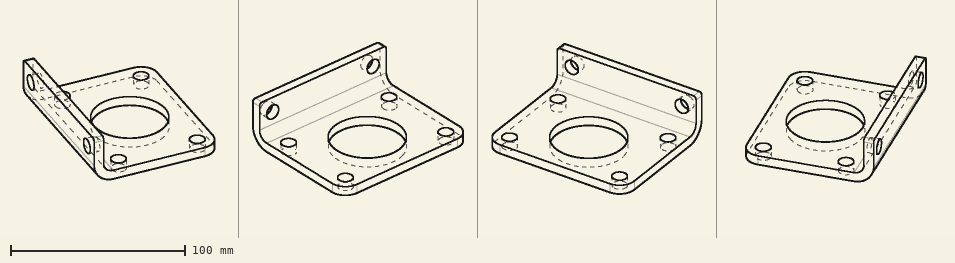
import cadquery as cq

width = 96.0
depth = 80.0
height = 30.0
thickness = 6.0
bend_inner_radius = 6.0
bend_outer_radius = bend_inner_radius + thickness

plate_corner_radius = 10.0
flange_corner_radius = 2.0

bolt_diameter = 9.0
bore_diameter = 45.0
edge_offset = plate_corner_radius
bolt_spacing_x = width - 2 * edge_offset
bolt_spacing_y = 50.0

bore_center_y = depth - edge_offset - bolt_spacing_y / 2
flange_hole_z = height - edge_offset


def bent_sheet():
    """L-shaped sheet, with a concentric bend, extruded along X."""
    return (
        cq.Workplane("YZ")
        .moveTo(depth, 0)
        .lineTo(bend_outer_radius, 0)
        .radiusArc((0, bend_outer_radius), bend_outer_radius)
        .lineTo(0, height)
        .lineTo(thickness, height)
        .lineTo(thickness, bend_outer_radius)
        .radiusArc((bend_outer_radius, thickness), -bend_inner_radius)
        .lineTo(depth, thickness)
        .close()
        .extrude(width / 2, both=True)
    )


def round_corners(body):
    """Round the free corners of the plate and of the flange."""
    body = body.faces(">Y").edges("|Z").fillet(plate_corner_radius)
    return body.faces(">Z").edges("|Y").fillet(flange_corner_radius)


def plate_holes():
    """Central bore and the four bolt holes around it."""
    plane = cq.Workplane("XY").center(0, bore_center_y)
    bore = plane.circle(bore_diameter / 2).extrude(thickness)
    bolts = (
        plane.rect(bolt_spacing_x, bolt_spacing_y, forConstruction=True)
        .vertices()
        .circle(bolt_diameter / 2)
        .extrude(thickness)
    )
    return bore.union(bolts)


def flange_holes():
    """Two bolt holes through the upright flange."""
    half_spacing = bolt_spacing_x / 2
    return (
        cq.Workplane("XZ")
        .pushPoints([(-half_spacing, flange_hole_z), (half_spacing, flange_hole_z)])
        .circle(bolt_diameter / 2)
        .extrude(-thickness)
    )


result = round_corners(bent_sheet()).cut(plate_holes()).cut(flange_holes())